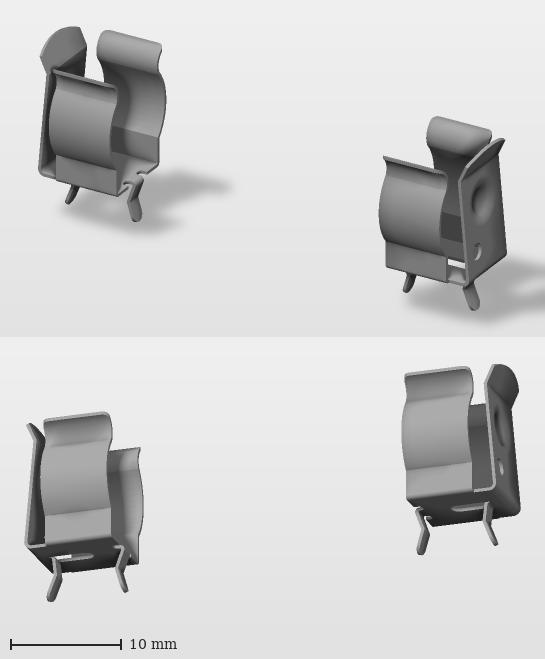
import cadquery as cq
import math


span = 45.65
arm_span = 10.18
total_height = 17.0
sheet = 0.3

base_half_width = 3.38
base_end_x = -14.1
stop_bend_radius = 0.7
stop_kink_z = 10.4
stop_lean = math.radians(5.2)
flare_lean = math.radians(24.4)
crown_drop = 0.95

arm_start_x = -20.45
arm_radius = arm_span / 2
arm_axis_z = 6.1
wall_y = 3.85
arm_bend_radius = 0.35
neck_y = 3.75
neck_z = 10.45
lip_tip_y = 4.8
lip_top_z = 11.8
lip_corner_radius = 0.65

leg_width = 1.5
leg_depth = 4.0
leg_tab_length = 0.9
end_leg_corner_x = -13.75
end_leg_kink = (-14.5, -1.85)
end_leg_tip = (-13.9, -3.92)
end_leg_bend_radius = 0.4
slot_leg_corner_x = -20.6
slot_leg_kink = (-20.35, -1.83)
slot_leg_tip = (-21.2, -leg_depth)
slot_leg_bend_radius = 0.65

slot_start_x = slot_leg_corner_x - slot_leg_bend_radius
slot_end_x = -17.1
notch_depth = 0.75
notch_width = 0.9
notch_corner_radius = 0.3

dimple_z = 7.2
dimple_rim_radius = 2.33
dimple_cup_radius = 1.3
dimple_depth = 0.8
hole_diameter = 1.6
hole_y = 1.65
hole_z = 2.87

stop_top_z = total_height - leg_depth
flare_top_z = stop_top_z - sheet * math.sin(flare_lean)
flare_top_x = -span / 2
stop_kink_x = flare_top_x + (flare_top_z - stop_kink_z) * math.tan(flare_lean)
stop_corner_x = stop_kink_x - stop_kink_z * math.tan(stop_lean)


def right_normal(start, end):
    """Unit vector pointing to the right of the direction start -> end in the XZ plane."""
    length = math.dist(start, end)
    return ((end[1] - start[1]) / length, (start[0] - end[0]) / length)


def mitred_offset(path):
    """Path moved to its right by one sheet thickness, with mitred corners."""
    normals = [right_normal(a, b) for a, b in zip(path, path[1:])]
    pairs = zip(normals[:1] + normals, normals + normals[-1:])
    moved = []
    for (x, z), (first, second) in zip(path, pairs):
        reach = sheet / (1 + first[0] * second[0] + first[1] * second[1])
        moved.append((x + reach * (first[0] + second[0]), z + reach * (first[1] + second[1])))
    return moved


def bent_strip(path, width, bend_radius):
    """Strip of sheet lying right of an XZ path, with its first corner rounded as a bend."""
    inside = mitred_offset(path)
    strip = cq.Workplane("XZ").polyline(path + inside[::-1]).close().extrude(width / 2, both=True)
    for (x, z), radius in ((path[1], bend_radius), (inside[1], bend_radius - sheet)):
        strip = strip.edges(cq.selectors.NearestToPointSelector((x, 0, z))).fillet(radius)
    return strip


def face_plane(start, end):
    """Plane on the strip face start -> end: origin at end, local x along Y, local y along the strip."""
    nx, nz = right_normal(start, end)
    return cq.Plane(origin=(end[0], 0, end[1]), xDir=(0, 1, 0), normal=(nx, 0, nz))


def stop_plane(y, z):
    """Plane on the outer face of the leaning end stop, with its normal pointing into the clip."""
    x = stop_kink_x - (stop_kink_z - z) * math.tan(stop_lean)
    normal = (math.cos(stop_lean), 0, -math.sin(stop_lean))
    return cq.Plane(origin=(x, y, z), xDir=(0, 1, 0), normal=normal)


def make_base_and_stop():
    """Base and flared end stop in one strip, with an arched upper edge."""
    kink = (stop_kink_x, stop_kink_z)
    flare_top = (flare_top_x, flare_top_z)
    path = [(base_end_x, 0), (stop_corner_x, 0), kink, flare_top]
    strip = bent_strip(path, 2 * base_half_width, stop_bend_radius)
    waste_height = 0.45
    crown_waste = (
        cq.Workplane(face_plane(kink, flare_top))
        .moveTo(-base_half_width, -crown_drop)
        .threePointArc((0, 0), (base_half_width, -crown_drop))
        .lineTo(base_half_width, waste_height)
        .lineTo(-base_half_width, waste_height)
        .close()
        .extrude(2 * sheet, both=True)
    )
    return strip.cut(crown_waste)


def dimple_form(offset):
    """Body of revolution bounded by the dimple surface, moved inwards by offset."""
    slope = 2 * math.atan(dimple_depth / dimple_rim_radius)
    rim_round = (dimple_rim_radius - dimple_cup_radius) / math.sin(slope)
    cup_round = dimple_cup_radius / math.sin(slope) + offset
    cup_centre = dimple_depth + offset - cup_round
    rim_inner = rim_round - offset

    def on_rim(angle):
        return (dimple_rim_radius - rim_inner * math.sin(angle), rim_round - rim_inner * math.cos(angle))

    def on_cup(angle):
        return (cup_round * math.sin(angle), cup_centre + cup_round * math.cos(angle))

    face = stop_plane(0, dimple_z)
    section = cq.Plane(origin=face.origin, xDir=face.xDir, normal=face.xDir.cross(face.zDir))
    return (
        cq.Workplane(section)
        .moveTo(0, offset - sheet)
        .lineTo(dimple_rim_radius, offset - sheet)
        .lineTo(*on_rim(0))
        .threePointArc(on_rim(slope / 2), on_rim(slope))
        .threePointArc(on_cup(slope / 2), on_cup(0))
        .close()
        .revolve(360, (0, 0), (0, 1))
    )


def make_stop_hole():
    """Round hole through the end stop."""
    return cq.Workplane(stop_plane(hole_y, hole_z)).circle(hole_diameter / 2).extrude(2 * sheet, both=True)


def make_arm():
    """Spring arm on the -Y side: bend, short wall, round grip and flared lip."""
    foot_z = arm_axis_z - math.sqrt(arm_radius**2 - wall_y**2)
    bend_y = wall_y - arm_bend_radius
    inner_bend_radius = arm_bend_radius - sheet
    inner_radius = arm_radius - sheet
    foot_angle = math.asin(wall_y / arm_radius)
    inner_foot_z = arm_axis_z - inner_radius * math.cos(foot_angle)
    inner_foot_y = inner_radius * math.sin(foot_angle)
    diagonal = math.sqrt(0.5)
    arm = (
        cq.Workplane("YZ", origin=(arm_start_x, 0, 0))
        .moveTo(-base_half_width, 0)
        .lineTo(-bend_y, 0)
        .threePointArc(
            (-bend_y - arm_bend_radius * diagonal, arm_bend_radius * (1 - diagonal)),
            (-wall_y, arm_bend_radius),
        )
        .lineTo(-wall_y, foot_z)
        .threePointArc((-arm_radius, arm_axis_z), (-wall_y, 2 * arm_axis_z - foot_z))
        .threePointArc((-neck_y, neck_z), (-lip_tip_y, lip_top_z - sheet))
        .lineTo(-lip_tip_y, lip_top_z)
        .threePointArc((sheet - neck_y, neck_z), (-inner_foot_y, 2 * arm_axis_z - inner_foot_z))
        .threePointArc((-inner_radius, arm_axis_z), (-inner_foot_y, inner_foot_z))
        .lineTo(sheet - wall_y, inner_foot_z)
        .lineTo(sheet - wall_y, arm_bend_radius)
        .threePointArc(
            (-bend_y - inner_bend_radius * diagonal, arm_bend_radius - inner_bend_radius * diagonal),
            (-bend_y, sheet),
        )
        .lineTo(-base_half_width, sheet)
        .close()
        .extrude(base_end_x - arm_start_x)
    )
    for x in (arm_start_x, base_end_x):
        corner = cq.selectors.NearestToPointSelector((x, -lip_tip_y, lip_top_z - sheet / 2))
        arm = arm.edges(corner).fillet(lip_corner_radius)
    return arm


def make_leg(corner_x, kink, tip, bend_radius):
    """Solder leg bent down from the base, kinked once, with a round end."""
    path = [(corner_x - leg_tab_length, sheet), (corner_x, sheet), kink, tip]
    strip = bent_strip(path, leg_width, bend_radius)
    radius = leg_width / 2
    blank = (
        cq.Workplane(face_plane(kink, tip))
        .moveTo(-radius, -radius)
        .threePointArc((0, 0), (radius, -radius))
        .lineTo(radius, -2 * leg_depth)
        .lineTo(-radius, -2 * leg_depth)
        .close()
        .extrude(leg_depth, both=True)
    )
    return strip.intersect(blank)


def make_base_cutouts():
    """Slot and notches that free the two legs from the base."""
    half = leg_width / 2
    slot = (
        cq.Workplane("XY")
        .moveTo(slot_start_x, -half)
        .lineTo(slot_end_x - half, -half)
        .threePointArc((slot_end_x, 0), (slot_end_x - half, half))
        .lineTo(slot_start_x, half)
        .close()
        .extrude(sheet)
    )
    notch_x = base_end_x - notch_depth
    tab_clearance = cq.Workplane("XY").box(notch_depth, leg_width, sheet, centered=(False, True, False))
    cutouts = slot.union(tab_clearance.translate((notch_x + notch_corner_radius, 0, 0)))
    for side in (-1, 1):
        notch = (
            cq.Workplane("XY")
            .box(2 * notch_depth, notch_width, sheet, centered=(False, True, False))
            .edges("|Z and <X")
            .fillet(notch_corner_radius)
            .translate((notch_x, side * (half + notch_width / 2), 0))
        )
        cutouts = cutouts.union(notch)
    return cutouts


def make_clip():
    """One complete clip, with its end stop at -X."""
    clip = make_base_and_stop()
    clip = clip.union(dimple_form(sheet)).cut(dimple_form(0)).cut(make_stop_hole())
    clip = clip.cut(make_base_cutouts())
    clip = clip.union(make_leg(end_leg_corner_x, end_leg_kink, end_leg_tip, end_leg_bend_radius))
    clip = clip.union(make_leg(slot_leg_corner_x, slot_leg_kink, slot_leg_tip, slot_leg_bend_radius))
    arm = make_arm()
    return clip.union(arm).union(arm.mirror("XZ"))


clip = make_clip()
clips = [clip.rotate((0, 0, 0), (0, 0, 1), turn).val() for turn in (0, 180)]
result = cq.Compound.makeCompound(clips)